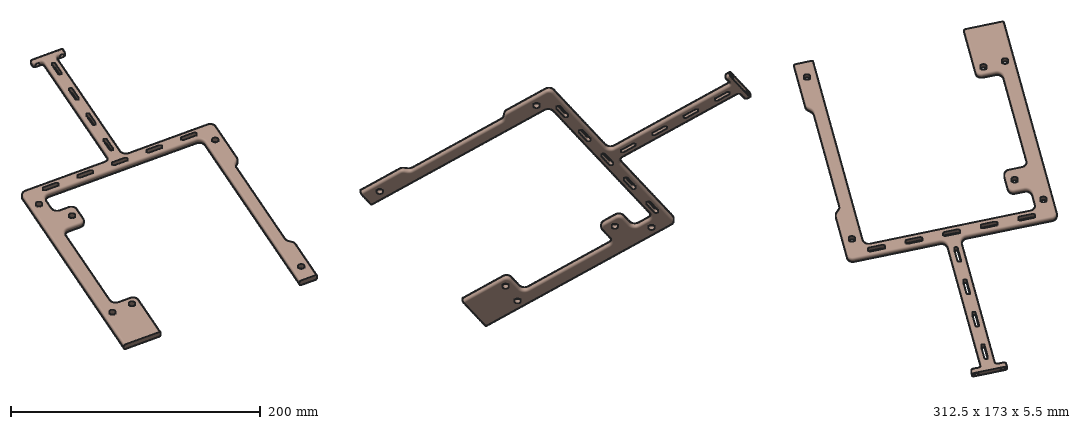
import cadquery as cq


length = 312.5
half_width = 86.5
thickness = 5.5
rim_radius = 2.0

crossbar_thickness = 5.0
crossbar_half_width = 29.0 / 2
crossbar_radius = 2.03
crossbar_hole_diameter = 3.8
crossbar_hole_offset = 11.0
stem_half_width = 6.0

frame_left = 125.0
bar_width = 12.2
upper_arm_width = 16.0
corner_radius = 5.0

recess_start = 170.5
recess_end = 272.0
recess_depth = 5.0

lower_arm_width = 12.5
pocket_floor_width = 15.3
tab_left = 156.5
tab_right = 178.2
pad_left = 267.5
pad_height = 33.0

slot_pitch = 31.0
slot_length = 14.0
stem_slot_width = 2.97
stem_slot_count = 4
first_stem_slot_x = 17.5
bar_slot_width = 3.8
bar_slot_count = 5

screw_hole_diameter = 5.3
near_hole_x = 144.0
upper_far_hole_x = 299.0
tab_hole_x = 167.3
pad_upper_hole_x = 275.0
pad_lower_hole_x = 276.5
upper_hole_inset = 7.5
lower_hole_inset = 7.8
raised_hole_inset = 26.0

frame_inner = frame_left + bar_width
upper_arm_inner = half_width - upper_arm_width
recess_floor = half_width - recess_depth
lower_arm_inner = lower_arm_width - half_width
pocket_floor = pocket_floor_width - half_width
pad_top = pad_height - half_width


def make_outline():
    """Sharp-cornered plate, followed anticlockwise from the lower left frame corner."""
    points = [
        (frame_left, -half_width),
        (length, -half_width),
        (length, pad_top),
        (pad_left, pad_top),
        (pad_left, lower_arm_inner),
        (tab_right, lower_arm_inner),
        (tab_right, pad_top),
        (tab_left, pad_top),
        (tab_left, pocket_floor),
        (frame_inner, pocket_floor),
        (frame_inner, upper_arm_inner),
        (length, upper_arm_inner),
        (length, half_width),
        (recess_end, half_width),
        (recess_end - recess_depth, recess_floor),
        (recess_start + recess_depth, recess_floor),
        (recess_start, half_width),
        (frame_left, half_width),
        (frame_left, stem_half_width),
        (crossbar_thickness, stem_half_width),
        (crossbar_thickness, crossbar_half_width),
        (0, crossbar_half_width),
        (0, -crossbar_half_width),
        (crossbar_thickness, -crossbar_half_width),
        (crossbar_thickness, -stem_half_width),
        (frame_left, -stem_half_width),
    ]
    return cq.Workplane("XY").polyline(points).close().extrude(thickness)


def round_corners(plate):
    """Round every upright edge except those on the two flat ends of the part."""
    margin = 0.3
    crossbar_zone = cq.selectors.BoxSelector(
        (margin, -half_width, 0),
        (crossbar_thickness + margin, half_width, thickness),
    )
    frame_zone = cq.selectors.BoxSelector(
        (frame_left - margin, -half_width - margin, 0),
        (length - margin, half_width + margin, thickness),
    )
    plate = plate.edges("|Z").edges(crossbar_zone).fillet(crossbar_radius)
    return plate.edges("|Z").edges(frame_zone).fillet(corner_radius)


def round_rims(plate):
    """Round the top and bottom rims, leaving the two flat ends square."""
    rims = plate.faces("|Z").edges()
    return rims.edges("not(<X or >X)").fillet(rim_radius)


def make_slots(centers, width, angle):
    return (
        cq.Workplane("XY")
        .pushPoints(centers)
        .slot2D(slot_length, width, angle)
        .extrude(thickness)
    )


def make_stem_slots():
    centers = [(first_stem_slot_x + i * slot_pitch, 0) for i in range(stem_slot_count)]
    return make_slots(centers, stem_slot_width, 0)


def make_bar_slots():
    slot_x = frame_left + bar_width / 2
    middle = (bar_slot_count - 1) / 2
    centers = [(slot_x, (i - middle) * slot_pitch) for i in range(bar_slot_count)]
    return make_slots(centers, bar_slot_width, 90)


def make_screw_holes():
    upper_y = half_width - upper_hole_inset
    lower_y = lower_hole_inset - half_width
    raised_y = raised_hole_inset - half_width
    centers = [
        (near_hole_x, upper_y),
        (upper_far_hole_x, upper_y),
        (near_hole_x, lower_y),
        (tab_hole_x, raised_y),
        (pad_upper_hole_x, raised_y),
        (pad_lower_hole_x, lower_y),
    ]
    return (
        cq.Workplane("XY")
        .pushPoints(centers)
        .circle(screw_hole_diameter / 2)
        .extrude(thickness)
    )


def make_crossbar_holes():
    """Holes along X, through both wings of the crossbar at mid thickness."""
    return (
        cq.Workplane("YZ", origin=(0, 0, thickness / 2))
        .pushPoints([(-crossbar_hole_offset, 0), (crossbar_hole_offset, 0)])
        .circle(crossbar_hole_diameter / 2)
        .extrude(crossbar_thickness)
    )


plate = round_rims(round_corners(make_outline()))
result = (
    plate
    .cut(make_stem_slots())
    .cut(make_bar_slots())
    .cut(make_screw_holes())
    .cut(make_crossbar_holes())
)